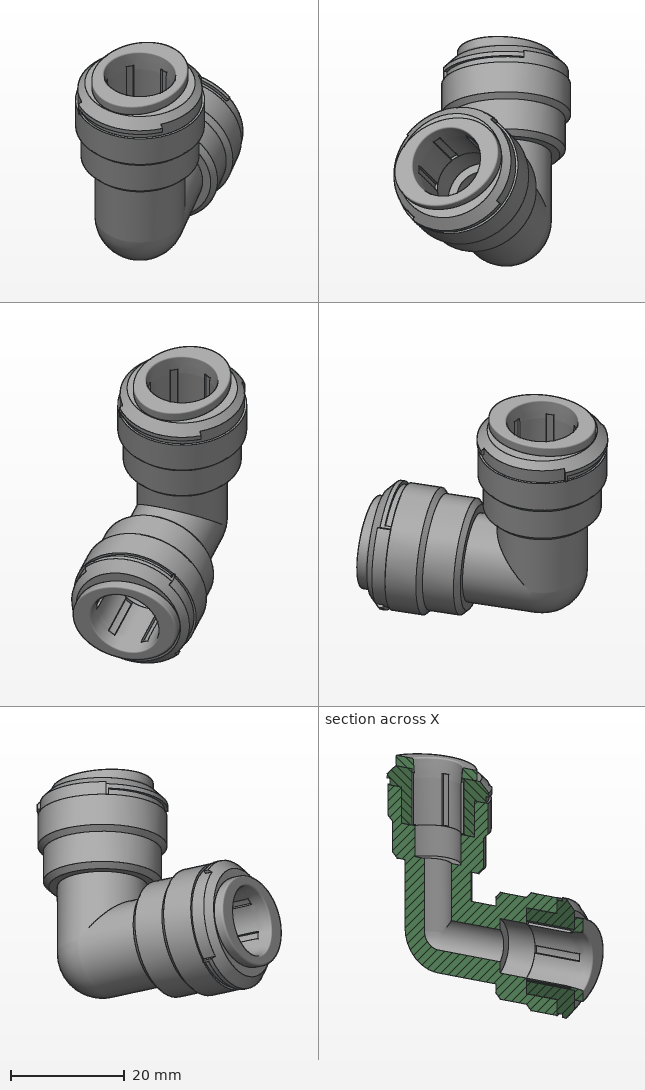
import cadquery as cq
import math


end_reach = 31.23

pipe_radius = 15.9 / 2
bore_radius = 4.5
body_radius = 22.7 / 2
neck_radius = 20.8 / 2
base_chamfer = 1.0
socket_base = 12.4
neck_top = 19.0
socket_top = 25.6
tube_stop = socket_base + base_chamfer

cap_radius = 10.95
cap_top = 29.3
cap_top_radius = 9.7
skirt_radius = 8.55
lug_radius = 11.5
lug_bottom = 26.7
lug_span = 90
leg_span = 2.2

flange_major = 9.75
flange_minor = 8.07
edge_round = 0.3
sleeve_radius = 6.5
mouth_radius = 6.3
tube_radius = 6.02
taper_end = 27.65
sleeve_bottom = neck_top
slot_width = 1.35
slot_top = 28.55
slot_count = 6
slot_offset = 15

upper_cap_turn = -9.4
upper_collet_turn = -12.6
side_cap_turn = 4
side_collet_turn = -78


def revolved(profile, degrees=360):
    """Turn a closed (radius, height) outline about the Z axis, starting at the +X axis."""
    outline = cq.Workplane("XZ").polyline(profile).close()
    return outline.revolve(degrees, (0, 0), (0, -1))


def cylinder(radius, bottom, top):
    return cq.Workplane("XY").workplane(offset=bottom).circle(radius).extrude(top - bottom)


def turned(shape, degrees):
    return shape.rotate((0, 0, 0), (0, 0, 1), degrees)


def to_side(shape):
    """Swing an end from the +Z axis to the +Y axis."""
    return shape.rotate((0, 0, 0), (1, 0, 0), -90)


def both_ends(shape):
    return shape.union(to_side(shape))


def make_housing():
    step = body_radius - neck_radius
    socket = revolved([
        (0, socket_base),
        (neck_radius - base_chamfer, socket_base),
        (neck_radius, socket_base + base_chamfer),
        (neck_radius, neck_top),
        (body_radius, neck_top + step),
        (body_radius, socket_top),
        (0, socket_top),
    ])
    leg = cylinder(pipe_radius, 0, socket_base).union(socket)
    outside = both_ends(leg).union(cq.Workplane("XY").sphere(pipe_radius))

    passage = cylinder(bore_radius, 0, tube_stop)
    tube_seat = cylinder(tube_radius, tube_stop, sleeve_bottom)
    cap_seat = cylinder(skirt_radius, sleeve_bottom, socket_top)
    cavity = both_ends(passage.union(tube_seat).union(cap_seat))
    return outside.cut(cavity.union(cq.Workplane("XY").sphere(bore_radius)))


def ring_sector(bottom, top, start, span):
    """Ring outside the cap radius, swept clockwise from a start angle."""
    profile = [
        (cap_radius, bottom),
        (2 * cap_radius, bottom),
        (2 * cap_radius, top),
        (cap_radius, top),
    ]
    return turned(revolved(profile, span), start)


def make_cap():
    cap = revolved([
        (sleeve_radius, sleeve_bottom),
        (skirt_radius, sleeve_bottom),
        (skirt_radius, socket_top),
        (lug_radius, socket_top),
        (lug_radius, cap_top - (lug_radius - cap_top_radius)),
        (cap_top_radius, cap_top),
        (sleeve_radius, cap_top),
    ])
    for lug_middle in (-90, 90):
        lug_start = lug_middle + lug_span / 2
        cap = cap.cut(ring_sector(socket_top, cap_top, lug_start - lug_span, 180 - lug_span))
        cap = cap.cut(ring_sector(socket_top, lug_bottom, lug_start, lug_span - leg_span))
    return cap


def make_collet():
    flange = (
        cq.Workplane("XY").workplane(offset=cap_top)
        .ellipse(flange_minor, flange_major).extrude(end_reach - cap_top)
        .edges().fillet(edge_round)
    )
    collet = flange.union(cylinder(sleeve_radius, sleeve_bottom, end_reach - edge_round))

    lip_bottom = end_reach - edge_round
    lip_middle = (
        mouth_radius + edge_round * (1 - math.cos(math.pi / 4)),
        lip_bottom + edge_round * math.sin(math.pi / 4),
    )
    bore = (
        cq.Workplane("XZ")
        .moveTo(0, sleeve_bottom)
        .lineTo(tube_radius, sleeve_bottom)
        .lineTo(tube_radius, taper_end)
        .lineTo(mouth_radius, lip_bottom)
        .threePointArc(lip_middle, (mouth_radius + edge_round, end_reach))
        .lineTo(0, end_reach)
        .close()
        .revolve(360, (0, 0), (0, 1))
    )
    collet = collet.cut(bore)

    slot_height = slot_top - sleeve_bottom
    slot = (
        cq.Workplane("XY").workplane(offset=sleeve_bottom)
        .center(0, sleeve_radius / 2).rect(slot_width, sleeve_radius + edge_round)
        .extrude(slot_height)
    )
    for i in range(slot_count):
        angle = i * 360 / slot_count - slot_offset
        collet = collet.cut(turned(slot, angle))
    return collet


housing = make_housing()
caps = []
collets = []
for on_side, cap_turn, collet_turn in (
    (False, upper_cap_turn, upper_collet_turn),
    (True, side_cap_turn, side_collet_turn),
):
    cap = turned(make_cap(), cap_turn)
    collet = turned(make_collet(), collet_turn)
    caps.append(to_side(cap) if on_side else cap)
    collets.append(to_side(collet) if on_side else collet)

result = cq.Compound.makeCompound([
    *housing.vals(),
    *[cap.val() for cap in caps],
    *[collet.val() for collet in collets],
])